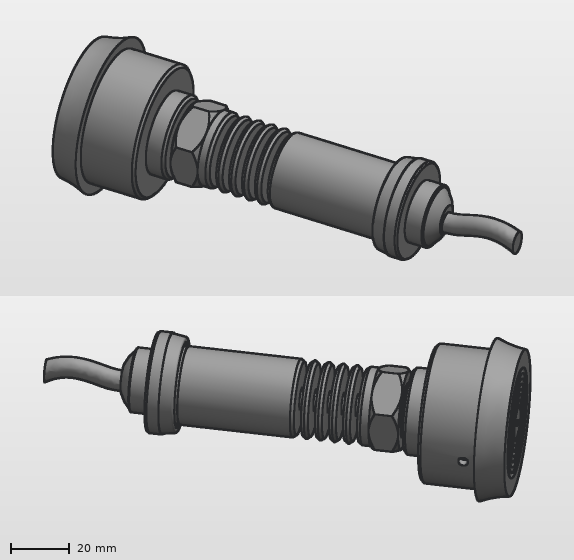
import cadquery as cq
import math


rim_thickness = 10.0
rim_face_radius = 25.25
rim_back_radius = 28.0
rim_curve_sag = 0.4
head_radius = 24.0
head_back = 30.2
hub_radius = 15.0
hub_back = 37.1
head_chamfer = 1.0
boss_radius = 18.63 / 2
boss_back = 38.1

corrugation_count = 4
corrugation_inner_radius = 7.0
corrugation_pitch = 3.67
corrugation_width = 1.9
corrugation_depth = 0.4
port_diameter = 2.0
port_depth = 5.0

leak_hole_diameter = 3.3
leak_hole_x = 14.45
leak_hole_depth = 3.0

hex_front = 38.8
hex_back = 49.0
hex_across_flats = 27.0
body_radius = hex_across_flats / 2
body_back = 115.1
relief_radius = 26.5 / 2
relief_length = 0.8

groove_count = 5
groove_first_x = 54.35
groove_pitch = 4.85
core_radius = 7.5 / 2
groove_root_width = 1.9
groove_top_width = 2.4
fin_chamfer_depth = 0.9

ring_front = body_back + relief_length
ring_taper_length = 5.0
ring_length = 9.9
ring_taper_radius = 16.6
ring_front_fillet = 0.9
ring_recess_radius = 14.7
ring_recess_depth = 0.7
recess_floor = ring_front + ring_recess_depth
ring_shoulder_radius = 17.25
ring_radius = 17.5
ring_chamfer_length = 0.8
ring_chamfer_height = 0.5

gland_front = ring_front + ring_length
gland_radius = 22.3 / 2
gland_back = 132.5
gland_chamfer = 0.4
dome_base_radius = 10.4
dome_tip_radius = 5.2
dome_back = 136.2
dome_sag = 0.4

cable_diameter = 7.2
cable_end_x = 162.9
cable_start = (dome_back, -1.1)
cable_middle = (145.0, 0.75)
cable_crest = (153.3, 2.35)
cable_end = (cable_end_x, -0.4)
cable_overrun = (166.0, -2.4)
cable_overrun_direction = (3.0, -2.0)


def turned(points):
    """Revolve a closed (x, radius) outline about the X axis."""
    return cq.Workplane("XY").polyline(points).close().revolve(360, (0, 0, 0), (1, 0, 0))


def disc(front, back, radius):
    """Plain cylinder along X."""
    return cq.Workplane("YZ").workplane(offset=front).circle(radius).extrude(back - front)


def corrugation(radius):
    """Ring groove of circular-arc section cut into the sensing face."""
    half_width = corrugation_width / 2
    return (
        cq.Workplane("XY")
        .moveTo(0, radius - half_width)
        .threePointArc((corrugation_depth, radius), (0, radius + half_width))
        .close()
        .revolve(360, (0, 0, 0), (1, 0, 0))
    )


def make_head():
    rim_slope = math.atan2(rim_back_radius - rim_face_radius, rim_thickness)
    rim_middle = (
        rim_thickness / 2 + rim_curve_sag * math.sin(rim_slope),
        (rim_face_radius + rim_back_radius) / 2 - rim_curve_sag * math.cos(rim_slope),
    )
    head = (
        cq.Workplane("XY")
        .lineTo(0, rim_face_radius)
        .threePointArc(rim_middle, (rim_thickness, rim_back_radius))
        .lineTo(rim_thickness, head_radius)
        .lineTo(head_back - head_chamfer, head_radius)
        .lineTo(head_back, head_radius - head_chamfer)
        .lineTo(head_back, hub_radius)
        .lineTo(hub_back - head_chamfer, hub_radius)
        .lineTo(hub_back, hub_radius - head_chamfer)
        .lineTo(hub_back, boss_radius)
        .lineTo(boss_back, boss_radius)
        .lineTo(boss_back, 0)
        .close()
        .revolve(360, (0, 0, 0), (1, 0, 0))
    )
    for index in range(corrugation_count):
        head = head.cut(corrugation(corrugation_inner_radius + index * corrugation_pitch))
    head = head.cut(disc(0, port_depth, port_diameter / 2))
    leak_hole = (
        cq.Workplane("XZ", origin=(leak_hole_x, head_radius, 0))
        .circle(leak_hole_diameter / 2)
        .extrude(leak_hole_depth)
    )
    return head.cut(leak_hole)


def make_hexagon():
    """Hexagon with flats facing +Y and -Y, its corners turned down at 45 degrees on both ends."""
    corner_radius = hex_across_flats / math.sqrt(3)
    chamfer = corner_radius - body_radius
    hexagon = (
        cq.Workplane("YZ")
        .workplane(offset=hex_front)
        .transformed(rotate=(0, 0, 90))
        .polygon(6, 2 * corner_radius)
        .extrude(hex_back - hex_front)
    )
    envelope = turned([
        (hex_front, 0),
        (hex_front, body_radius),
        (hex_front + chamfer, corner_radius),
        (hex_back - chamfer, corner_radius),
        (hex_back, body_radius),
        (hex_back, 0),
    ])
    return hexagon.intersect(envelope)


def cooling_groove(middle):
    """Groove with slightly sloped walls and a wide chamfer that meets the next groove at a crest."""
    root = groove_root_width / 2
    top = groove_top_width / 2
    crest = groove_pitch / 2
    chamfer_radius = body_radius - fin_chamfer_depth
    return turned([
        (middle - root, core_radius),
        (middle - top, chamfer_radius),
        (middle - crest, body_radius),
        (middle + crest, body_radius),
        (middle + top, chamfer_radius),
        (middle + root, core_radius),
    ])


def make_transmitter():
    body = disc(boss_back, hex_front, boss_radius)
    body = body.union(make_hexagon())
    body = body.union(disc(hex_back, body_back, body_radius))
    body = body.union(disc(body_back, recess_floor, relief_radius))
    for index in range(groove_count):
        body = body.cut(cooling_groove(groove_first_x + index * groove_pitch))
    return body


def make_ring():
    """Collar with a rounded, recessed front face; it widens to a small shoulder and is chamfered behind."""
    fillet_center_x = ring_front + ring_front_fillet
    fillet_center_radius = ring_taper_radius - ring_front_fillet
    fillet_middle_offset = ring_front_fillet * math.sqrt(0.5)
    shoulder_x = ring_front + ring_taper_length
    return (
        cq.Workplane("XY")
        .moveTo(recess_floor, 0)
        .lineTo(recess_floor, ring_recess_radius)
        .lineTo(ring_front, ring_recess_radius)
        .lineTo(ring_front, fillet_center_radius)
        .threePointArc(
            (fillet_center_x - fillet_middle_offset, fillet_center_radius + fillet_middle_offset),
            (fillet_center_x, ring_taper_radius),
        )
        .lineTo(shoulder_x, ring_shoulder_radius)
        .lineTo(shoulder_x, ring_radius)
        .lineTo(gland_front - ring_chamfer_length, ring_radius)
        .lineTo(gland_front, ring_radius - ring_chamfer_height)
        .lineTo(gland_front, 0)
        .close()
        .revolve(360, (0, 0, 0), (1, 0, 0))
    )


def make_gland():
    return turned([
        (gland_front, 0),
        (gland_front, gland_radius),
        (gland_back - gland_chamfer, gland_radius),
        (gland_back, gland_radius - gland_chamfer),
        (gland_back, 0),
    ])


def make_dome():
    slope = math.atan2(dome_base_radius - dome_tip_radius, dome_back - gland_back)
    middle = (
        (gland_back + dome_back) / 2 + dome_sag * math.sin(slope),
        (dome_base_radius + dome_tip_radius) / 2 + dome_sag * math.cos(slope),
    )
    return (
        cq.Workplane("XY")
        .moveTo(gland_back, 0)
        .lineTo(gland_back, dome_base_radius)
        .threePointArc(middle, (dome_back, dome_tip_radius))
        .lineTo(dome_back, 0)
        .close()
        .revolve(360, (0, 0, 0), (1, 0, 0))
    )


def make_cable():
    """Round cable swept along a gentle S in the XZ plane, cut square to X at its free end."""
    path = cq.Workplane("XZ").spline(
        [cable_start, cable_middle, cable_crest, cable_end, cable_overrun],
        tangents=[(1, 0), cable_overrun_direction],
    )
    cable = cq.Workplane("YZ", origin=(dome_back, 0, cable_start[1])).circle(cable_diameter / 2).sweep(path)
    return cable.intersect(disc(dome_back, cable_end_x, rim_back_radius))


head = make_head()
transmitter = make_transmitter()
ring = make_ring()
gland = make_gland()
dome = make_dome()
cable = make_cable()

result = cq.Compound.makeCompound([
    head.val(),
    transmitter.val(),
    ring.val(),
    gland.val(),
    dome.val(),
    cable.val(),
])